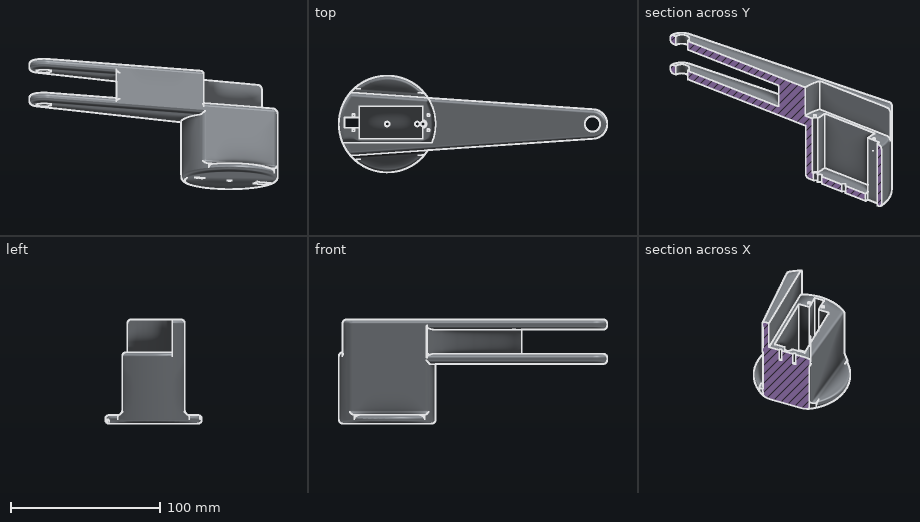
import cadquery as cq
import math

disc_radius = 32.48
total_length = 180.0
total_height = 70.0
edge_round = 2.9

tip_radius = 9.99
root_half_width = 19.5
tip_x = total_length - disc_radius - tip_radius
taper = math.asin((root_half_width - tip_radius) / tip_x)

flange_height = 6.0
arm_thickness = 7.0
lower_arm_bottom = 40.0
lower_arm_top = lower_arm_bottom + arm_thickness
upper_arm_bottom = total_height - arm_thickness
floor_height = 48.0

web_start = (26.3, -17.6)
web_bend = (36.7, -12.0)
web_middle = (56.5, 0.7)
web_end = (90.3, 13.3)

guard_wall_y = -12.5
pocket_length = 42.5
pocket_width = 21.8
pocket_x = 2.5
pocket_y = 0.9
pocket_bottom = flange_height
slot_length = 9.7
slot_width = 6.7
screw_diameter = 1.75
screw_depth = 9.0
screw_spacing_x = 50.2
screw_spacing_y = 10.0
base_hole_diameter = 3.0
base_hole_xs = (0, 20.2, 24.0)
notch_diameter = 5.0
tip_hole_diameter = 10.0

select_margin = 0.2


def cylinder(radius, bottom, top, x=0.0, y=0.0):
    return cq.Workplane("XY", origin=(x, y, bottom)).circle(radius).extrude(top - bottom)


def lever_outline(bottom, top):
    """Wedge tangent to the tip circle, closed by the disc's left arc."""
    tangent_x = tip_x + tip_radius * math.sin(taper)
    tangent_y = tip_radius * math.cos(taper)
    chord_half = math.sqrt(disc_radius**2 - root_half_width**2)
    left_x = root_half_width * math.sin(taper) - chord_half * math.cos(taper)
    left_y = root_half_width * math.cos(taper) + chord_half * math.sin(taper)
    prism = (
        cq.Workplane("XY", origin=(0, 0, bottom))
        .moveTo(left_x, -left_y)
        .lineTo(tangent_x, -tangent_y)
        .threePointArc((tip_x + tip_radius, 0), (tangent_x, tangent_y))
        .lineTo(left_x, left_y)
        .threePointArc((-disc_radius, 0), (left_x, -left_y))
        .close()
        .extrude(top - bottom)
    )
    return prism.edges("|Z").edges("<X").fillet(edge_round)


def make_base():
    """Disc flange and column, with a concave foot along the column sides."""
    flange = cylinder(disc_radius, 0, flange_height).edges().fillet(edge_round)
    column = lever_outline(0, lower_arm_top).intersect(cylinder(disc_radius, 0, lower_arm_top))
    column = column.edges("|Z").edges(">X").fillet(edge_round)

    plate_size = 4 * disc_radius
    plate = cq.Workplane("XY").box(plate_size, plate_size, flange_height, centered=(True, True, False))
    foot = plate.union(column)
    plate_level = cq.selectors.BoxSelector(
        (-disc_radius - 1.8, -disc_radius, flange_height - select_margin),
        (disc_radius + 1.8, disc_radius, flange_height + select_margin),
    )
    foot = foot.edges(plate_level).fillet(edge_round)
    foot_trim = cq.Workplane("XY").add(column.faces("<Z").wires().vals()).toPending()
    foot_trim = foot_trim.offset2D(edge_round).extrude(lower_arm_top)
    disc = cylinder(disc_radius, 0, lower_arm_top).edges("<Z").fillet(edge_round)
    return flange.union(foot.intersect(foot_trim).intersect(disc))


def make_arm(bottom):
    return lever_outline(bottom, bottom + arm_thickness).faces("<Z or >Z").edges().fillet(edge_round)


def make_web():
    """Fill between the arms, reaching into them up to the start of their outer rounding."""
    bottom = lower_arm_bottom + edge_round
    top = total_height - edge_round
    gap = (
        cq.Workplane("XY", origin=(0, 0, bottom))
        .moveTo(*web_start)
        .lineTo(*web_bend)
        .threePointArc(web_middle, web_end)
        .lineTo(total_length, web_end[1])
        .lineTo(total_length, web_start[1])
        .close()
        .extrude(upper_arm_bottom + edge_round - bottom)
    )
    return lever_outline(bottom, top).cut(gap)


def cut_opening(body):
    """Open the housing above the floor, leaving the guard wall on the -Y side."""
    slab_height = total_height - floor_height
    slab = cq.Workplane("XY").box(4 * disc_radius, 2 * disc_radius, slab_height).translate(
        (0, guard_wall_y + disc_radius, floor_height + slab_height / 2)
    )
    return body.cut(cylinder(disc_radius, floor_height, total_height).intersect(slab))


def round_floor_rim(body):
    """Round the floor's outer rim on the disc arc and the +Y side."""
    rim_box = cq.selectors.BoxSelector(
        (-disc_radius - 1.8, guard_wall_y / 2, floor_height - select_margin),
        (tip_radius, disc_radius, floor_height + select_margin),
    )
    return body.edges(rim_box).fillet(edge_round)


def cut_pocket(body):
    """Servo pocket with its cable slot, screw holes and base holes."""
    centre = cq.Workplane("XY", origin=(pocket_x, pocket_y, 0))
    pocket_depth = floor_height - pocket_bottom
    pocket = centre.workplane(offset=pocket_bottom).rect(pocket_length, pocket_width).extrude(pocket_depth)
    slot = (
        centre.center(-(pocket_length + slot_length) / 2, 0)
        .rect(slot_length, slot_width)
        .extrude(floor_height)
    )
    screws = (
        cq.Workplane("XY", origin=(pocket_x, pocket_y, floor_height - screw_depth))
        .rect(screw_spacing_x, screw_spacing_y, forConstruction=True)
        .vertices()
        .circle(screw_diameter / 2)
        .extrude(screw_depth)
    )
    notch = cylinder(notch_diameter / 2, pocket_bottom, floor_height, base_hole_xs[-1])
    body = body.cut(pocket).cut(slot).cut(screws).cut(notch)
    for x in base_hole_xs:
        body = body.cut(cylinder(base_hole_diameter / 2, 0, floor_height, x))
    return body


body = make_base().union(make_arm(lower_arm_bottom)).union(make_arm(upper_arm_bottom)).union(make_web())
body = round_floor_rim(cut_opening(body))
body = cut_pocket(body)
result = body.cut(cylinder(tip_hole_diameter / 2, 0, total_height, tip_x))